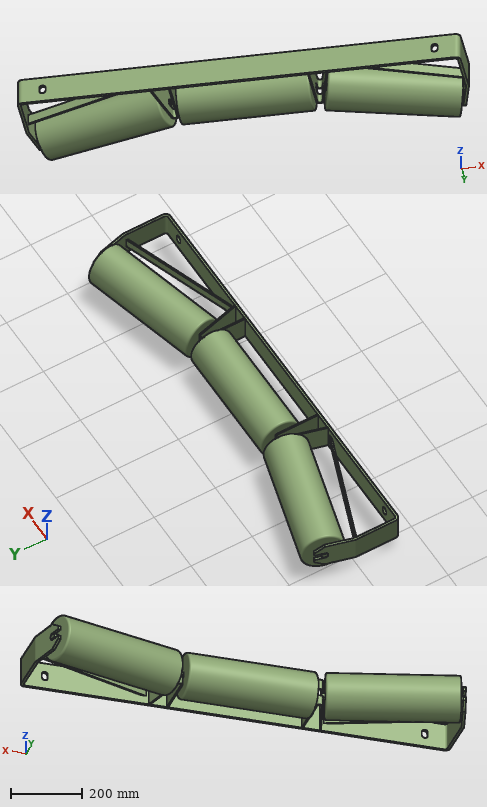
import cadquery as cq
import math


FRAME_LENGTH = 1260.0
BAR_WIDTH = 80.0
FRAME_THICKNESS = 8.0
FRAME_BEND_RADIUS = 15.0
ARM_BEND_HEIGHT = 146.0
ARM_TIP_LENGTH = 120.0
ARM_TIP_WIDTH = 40.0
ARM_CHAMFER_LENGTH = 31.0
MOUNT_HOLE_SPACING = 1116.0
MOUNT_HOLE_WIDTH = 18.0
MOUNT_HOLE_LENGTH = 26.0

TROUGH_ANGLE = 15.0
ROLLER_DIAMETER = 133.0
ROLLER_LENGTH = 380.0
ROLLER_EDGE_RADIUS = 6.0
SHAFT_DIAMETER = 20
SHAFT_FLATS = 14.0
END_GAP = 6.0
CENTRE_ROLLER_Y = 125.0
SIDE_ROLLER_Y = 179.61

SLOT_LENGTH = 80.0

BRACKET_THICKNESS = 4.0
BRACKET_BEND_RADIUS = 10.5

STRUT_THICKNESS = 5.0
STRUT_WIDTH = 30.0
STRUT_ANGLE = 20.0
STRUT_FOOT_X = 261.0

TILT = math.radians(TROUGH_ANGLE)
STRUT_SLOPE = math.radians(STRUT_ANGLE)
SUPPORT_OFFSET = ROLLER_LENGTH / 2 + END_GAP
ARM_REACH = SUPPORT_OFFSET + FRAME_THICKNESS
BRACKET_REACH = SUPPORT_OFFSET + BRACKET_THICKNESS
HALF_FRAME = FRAME_LENGTH / 2
BEND_DROP = SIDE_ROLLER_Y - ARM_BEND_HEIGHT
SIDE_ROLLER_X = HALF_FRAME - (ARM_REACH + BEND_DROP * math.sin(TILT)) / math.cos(TILT)


def place_right(body):
    """Move a body from roller coordinates (axis along X) to the right-hand side roller."""
    return body.rotate((0, 0, 0), (0, 0, 1), TROUGH_ANGLE).translate((SIDE_ROLLER_X, SIDE_ROLLER_Y, 0))


def place_centre(body):
    """Move a body from roller coordinates (axis along X) to the centre roller."""
    return body.translate((0, CENTRE_ROLLER_Y, 0))


def both_sides(right_body):
    """The right-hand body and its mirror copy on the left."""
    return [right_body, right_body.mirror("YZ")]


def flat_bar(points, width):
    """Closed outline in X and Y, extruded to a width centred on Z = 0."""
    return cq.Workplane("XY", origin=(0, 0, -width / 2)).polyline(points).close().extrude(width)


def round_corner(body, corner, radius):
    """Round the Z-parallel edge that passes through an XY point."""
    edge = cq.selectors.NearestToPointSelector((*corner, 0))
    return body.edges("|Z").edges(edge).fillet(radius)


def make_roller(left_reach, right_reach):
    """Roller centred on the origin along X, with flatted shaft ends of the given reach."""
    shell = (
        cq.Workplane("YZ", origin=(-ROLLER_LENGTH / 2, 0, 0))
        .circle(ROLLER_DIAMETER / 2).extrude(ROLLER_LENGTH)
        .edges("%CIRCLE").fillet(ROLLER_EDGE_RADIUS)
    )
    shaft_length = left_reach + right_reach
    bar = cq.Workplane("YZ", origin=(-left_reach, 0, 0)).circle(SHAFT_DIAMETER / 2).extrude(shaft_length)
    flats = cq.Workplane("XY").box(2 * shaft_length, SHAFT_DIAMETER, SHAFT_FLATS)
    return shell.union(bar.intersect(flats))


def make_shaft_slot():
    """Open-topped, round-bottomed slot cutter for the support at the right end of a roller."""
    radius = SHAFT_DIAMETER / 2
    return (
        cq.Workplane("YZ", origin=(SUPPORT_OFFSET, 0, 0))
        .moveTo(SLOT_LENGTH, -radius).lineTo(0, -radius)
        .threePointArc((-radius, 0), (0, radius))
        .lineTo(SLOT_LENGTH, radius).close()
        .extrude(2 * FRAME_THICKNESS)
    )


shaft_slot = make_shaft_slot()
centre_roller = place_centre(make_roller(BRACKET_REACH, BRACKET_REACH))
side_rollers = both_sides(place_right(make_roller(BRACKET_REACH, ARM_REACH)))


def make_half_frame():
    """Right half of the frame bar, with its bends rounded."""
    inner_x = HALF_FRAME - FRAME_THICKNESS
    tip_x = HALF_FRAME - ARM_TIP_LENGTH * math.sin(TILT)
    tip_y = ARM_BEND_HEIGHT + ARM_TIP_LENGTH * math.cos(TILT)
    inner_tip = (tip_x - FRAME_THICKNESS * math.cos(TILT), tip_y - FRAME_THICKNESS * math.sin(TILT))
    outer_bends = [(HALF_FRAME, 0), (HALF_FRAME, ARM_BEND_HEIGHT)]
    inner_bends = [
        (inner_x, ARM_BEND_HEIGHT - FRAME_THICKNESS * math.tan(TILT / 2)),
        (inner_x, FRAME_THICKNESS),
    ]
    outline = [(0, 0), *outer_bends, (tip_x, tip_y), inner_tip, *inner_bends, (0, FRAME_THICKNESS)]
    bar = flat_bar(outline, BAR_WIDTH)
    for bend in outer_bends:
        bar = round_corner(bar, bend, FRAME_BEND_RADIUS)
    for bend in inner_bends:
        bar = round_corner(bar, bend, FRAME_BEND_RADIUS - FRAME_THICKNESS)
    return bar


def make_tip_chamfers():
    """Cutter for the two corners of the right-hand arm tip, in roller coordinates."""
    axis_to_bend = (HALF_FRAME - SIDE_ROLLER_X) * math.sin(TILT) + BEND_DROP * math.cos(TILT)
    tip = ARM_TIP_LENGTH - axis_to_bend
    corner = [
        (tip - ARM_CHAMFER_LENGTH, BAR_WIDTH / 2),
        (tip, ARM_TIP_WIDTH / 2),
        (tip, BAR_WIDTH / 2),
    ]
    upper = (
        cq.Workplane("YZ", origin=(SUPPORT_OFFSET - FRAME_THICKNESS, 0, 0))
        .polyline(corner).close().extrude(3 * FRAME_THICKNESS)
    )
    return upper.union(upper.mirror("XY"))


def make_frame():
    mount_hole = (
        cq.Workplane("XZ").center(MOUNT_HOLE_SPACING / 2, 0)
        .slot2D(MOUNT_HOLE_LENGTH, MOUNT_HOLE_WIDTH, 90).extrude(-FRAME_THICKNESS)
    )
    right_half = (
        make_half_frame().cut(place_right(make_tip_chamfers()))
        .cut(place_right(shaft_slot)).cut(mount_hole)
    )
    return right_half.union(right_half.mirror("YZ")).clean()


frame = make_frame()


def make_wedge(apex, bend_radius):
    """Wedge from the base bar up to an apex, one side upright and one tilted, apex rounded."""
    apex_x, apex_y = apex
    spread = (apex_y - FRAME_THICKNESS) * math.tan(TILT)
    outline = [apex, (apex_x, FRAME_THICKNESS), (apex_x + spread, FRAME_THICKNESS)]
    return round_corner(flat_bar(outline, BAR_WIDTH), apex, bend_radius)


def make_bracket():
    """Right-hand bracket, one leg square to the centre roller and one square to the side roller."""
    side_face_x = SIDE_ROLLER_X - SUPPORT_OFFSET * math.cos(TILT)
    side_face_y = SIDE_ROLLER_Y - SUPPORT_OFFSET * math.sin(TILT)
    apex_y = side_face_y + (side_face_x - SUPPORT_OFFSET) / math.tan(TILT)
    inner_apex = (SUPPORT_OFFSET + BRACKET_THICKNESS, apex_y - BRACKET_THICKNESS / math.tan(TILT / 2))
    outside = make_wedge((SUPPORT_OFFSET, apex_y), BRACKET_BEND_RADIUS)
    inside = make_wedge(inner_apex, BRACKET_BEND_RADIUS - BRACKET_THICKNESS)
    side_slot = place_right(shaft_slot.mirror("YZ"))
    return outside.cut(inside).cut(place_centre(shaft_slot)).cut(side_slot)


brackets = both_sides(make_bracket())


def make_strut():
    end_x = HALF_FRAME - FRAME_THICKNESS
    end_y = FRAME_THICKNESS + (end_x - STRUT_FOOT_X) * math.tan(STRUT_SLOPE)
    foot_length = STRUT_THICKNESS / math.sin(STRUT_SLOPE)
    end_height = STRUT_THICKNESS / math.cos(STRUT_SLOPE)
    outline = [
        (STRUT_FOOT_X, FRAME_THICKNESS),
        (STRUT_FOOT_X + foot_length, FRAME_THICKNESS),
        (end_x, end_y - end_height),
        (end_x, end_y),
    ]
    return flat_bar(outline, STRUT_WIDTH)


struts = both_sides(make_strut())

bodies = [frame, centre_roller, *side_rollers, *brackets, *struts]
result = cq.Compound.makeCompound([body.solids().val() for body in bodies])